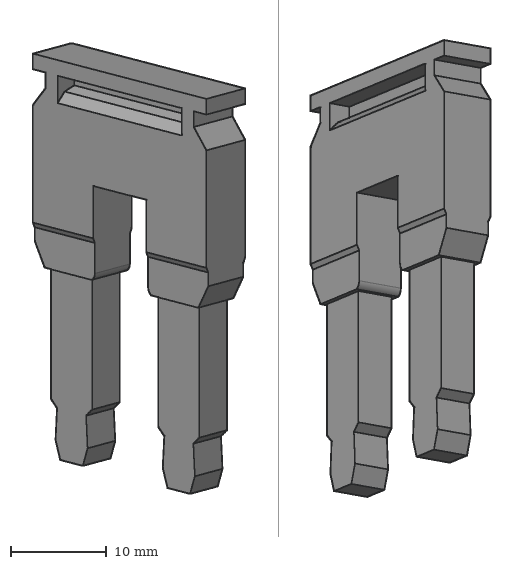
import cadquery as cq
import math

width = 25.45
thickness = 5.8
height = 43.65
half_width = width / 2

flange_bottom = height - 1.7
waist_half_width = 10.85
waist_bottom = height - 3.4
shoulder_top = height - 5.6

gap_half_width = 3.9
gap_top = height - 12.65

step_top = height - 18.35
step_bottom = height - 18.9
collar_thickness = 5.25
collar_taper_top = height - 20.4
collar_bottom = height - 23.0
collar_outer_bottom = 11.25
collar_round_radius = 0.95
collar_round_angle = math.radians(60)

pin_thickness = 4.15
pin_centre = 7.85
pin_half_width = 3.0
pin_shoulder_top = 6.37
pin_shoulder_bottom = 5.55
pin_neck_half_width = 2.15
pin_bulge_height = 2.05
pin_bulge_half_width = 2.35
pin_tip_half_width = 1.65

pocket_width = 18.15
pocket_top = flange_bottom
pocket_sill = height - 4.65
pocket_bend_depth = 1.05
pocket_bend_z = height - 3.62
pocket_depth = 2.5
pocket_wall_bottom = height - 3.25


def make_body_half():
    """Right half of the flange, shoulders, body leg and collar."""
    round_centre_x = gap_half_width + collar_round_radius
    round_start_z = collar_bottom + collar_round_radius * math.sin(collar_round_angle)

    def round_point(angle):
        return (
            round_centre_x - collar_round_radius * math.cos(angle),
            round_start_z - collar_round_radius * math.sin(angle),
        )

    outline = (
        cq.Workplane("XZ")
        .moveTo(0, height)
        .lineTo(half_width, height)
        .lineTo(half_width, flange_bottom)
        .lineTo(waist_half_width, flange_bottom)
        .lineTo(waist_half_width, waist_bottom)
        .lineTo(half_width, shoulder_top)
        .lineTo(half_width, collar_taper_top)
        .lineTo(collar_outer_bottom, collar_bottom)
        .lineTo(*round_point(collar_round_angle))
        .threePointArc(round_point(collar_round_angle / 2), round_point(0))
        .lineTo(gap_half_width, gap_top)
        .lineTo(0, gap_top)
        .close()
    )
    return outline.extrude(thickness / 2, both=True)


def make_thickness_envelope():
    """Side profile that narrows the body to the collar thickness."""
    profile = [
        (thickness / 2, height),
        (thickness / 2, step_top),
        (collar_thickness / 2, step_bottom),
        (collar_thickness / 2, collar_bottom),
    ]
    mirrored_profile = [(-y, z) for y, z in reversed(profile)]
    outline = cq.Workplane("YZ").polyline(profile + mirrored_profile).close()
    return outline.extrude(half_width, both=True)


def make_pin():
    """Right contact pin with a neck, a slight bulge and a tapered tip."""
    profile = [
        (pin_half_width, collar_bottom),
        (pin_half_width, pin_shoulder_top),
        (pin_neck_half_width, pin_shoulder_bottom),
        (pin_bulge_half_width, pin_bulge_height),
        (pin_tip_half_width, 0),
    ]
    right_side = [(pin_centre + x, z) for x, z in profile]
    left_side = [(pin_centre - x, z) for x, z in reversed(profile)]
    outline = cq.Workplane("XZ").polyline(right_side + left_side).close()
    return outline.extrude(pin_thickness / 2, both=True)


def make_pocket():
    """Cutter for the grip pocket in the -Y face."""
    face_y = -thickness / 2
    bend_y = face_y + pocket_bend_depth
    wall_y = face_y + pocket_depth
    outline = (
        cq.Workplane("YZ")
        .moveTo(face_y, pocket_top)
        .lineTo(face_y, pocket_sill)
        .lineTo(bend_y, pocket_bend_z)
        .lineTo(wall_y, pocket_wall_bottom)
        .lineTo(wall_y, pocket_top)
        .close()
    )
    return outline.extrude(pocket_width / 2, both=True)


body_half = make_body_half().intersect(make_thickness_envelope())
half = body_half.union(make_pin())
pocket = make_pocket()

result = half.union(half.mirror("YZ")).cut(pocket).cut(pocket.mirror("XZ")).clean()